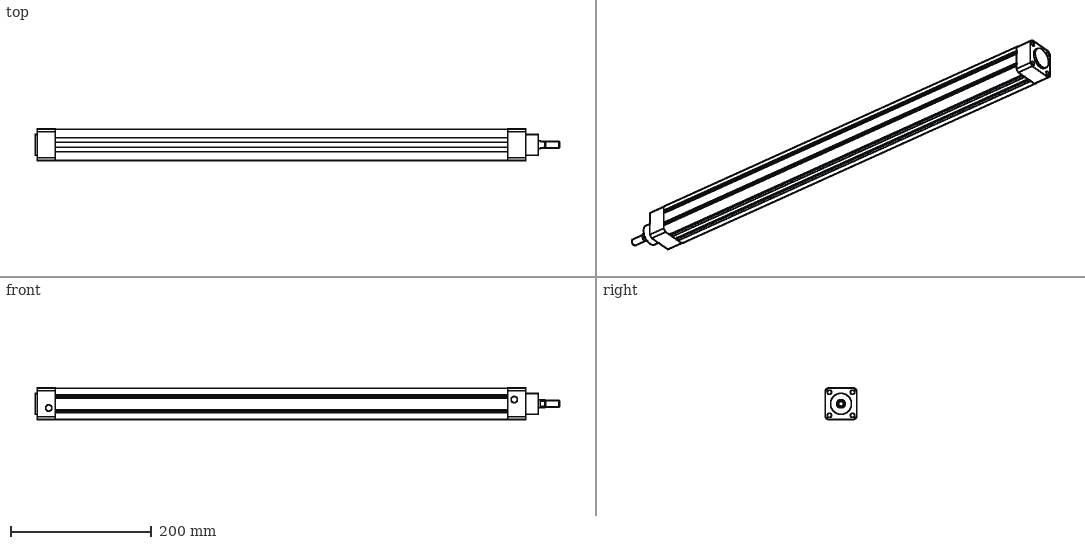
import cadquery as cq


total_length = 746.0
rear_boss_length = 3.0
cap_length = 25.0
front_cap_end = 697.5
front_boss_end = 715.5

cap_overhang = 0.11
cap_corner_chamfer = 4.1
boss_diameter = 30.0
screw_spacing = 33.0
screw_hole_diameter = 6.0
screw_hole_depth = 9.0
port_diameter = 9.0
port_depth = 9.0
port_offset_z = 6.0
port_setback = 16.5

profile_width = 45.0
profile_corner_radius = 5.0
top_slot_width = 7.0
top_slot_depth = 4.0
top_slot_offset = 7.0
side_groove_width = 4.5
side_groove_floor = 2.0
side_groove_depth = 2.0
side_groove_offset = 10.5

rod_diameter = 12.0
shoulder_length = 3.0
flat_length = 6.0
across_flats = 10.0
thread_diameter = 10.0
thread_chamfer = 1.5

cap_width = profile_width + 2 * cap_overhang
rear_cap_start = rear_boss_length
profile_start = rear_cap_start + cap_length
front_cap_start = front_cap_end - cap_length
profile_length = front_cap_start - profile_start


def section(x):
    """Cross-section plane at x, with local axes along Y and Z."""
    return cq.Workplane("YZ", origin=(x, 0, 0))


def disc(x, diameter, length):
    return section(x).circle(diameter / 2).extrude(length)


def square_bar(x, width, length):
    return section(x).rect(width, width).extrude(length)


def screw_holes(x, depth):
    """Four corner holes starting at x; a negative depth runs toward -X."""
    corners = section(x).rect(screw_spacing, screw_spacing, forConstruction=True).vertices()
    return corners.circle(screw_hole_diameter / 2).extrude(depth)


def port(x, z):
    """Blind air port in the -Y side of a cap."""
    mouth = cq.Workplane("XZ", origin=(x, -cap_width / 2, z))
    return mouth.circle(port_diameter / 2).extrude(-port_depth)


def make_cap_block(x):
    """Square cap block with chamfered corner edges."""
    return square_bar(x, cap_width, cap_length).edges("|X").chamfer(cap_corner_chamfer)


def make_rear_cap():
    cap = make_cap_block(rear_cap_start)
    cap = cap.union(disc(0, boss_diameter, rear_boss_length))
    cap = cap.cut(screw_holes(rear_cap_start, screw_hole_depth))
    return cap.cut(port(rear_cap_start + port_setback, -port_offset_z))


def make_front_cap():
    cap = make_cap_block(front_cap_start)
    cap = cap.union(disc(front_cap_end, boss_diameter, front_boss_end - front_cap_end))
    cap = cap.cut(screw_holes(front_cap_end, -screw_hole_depth))
    cap = cap.cut(port(front_cap_end - port_setback, port_offset_z))
    return cap.cut(disc(front_cap_start, rod_diameter, front_boss_end - front_cap_start))


def level_slot(y, z):
    """Rectangular slot in the top or bottom face; half of the cutter lies outside the body."""
    profile = section(profile_start).center(y, z).rect(top_slot_width, 2 * top_slot_depth)
    return profile.extrude(profile_length)


def side_groove(side, z):
    """Groove with sloping walls in the -Y (side = -1) or +Y (side = 1) face."""
    mouth_y = side * profile_width / 2
    floor_y = mouth_y - side * side_groove_depth
    half_mouth = side_groove_width / 2
    half_floor = side_groove_floor / 2
    profile = section(profile_start).polyline([
        (mouth_y, z - half_mouth),
        (floor_y, z - half_floor),
        (floor_y, z + half_floor),
        (mouth_y, z + half_mouth),
    ]).close()
    return profile.extrude(profile_length)


def make_profile():
    profile = square_bar(profile_start, profile_width, profile_length)
    profile = profile.edges("|X").fillet(profile_corner_radius)
    for side in (-1, 1):
        for offset_sign in (-1, 1):
            profile = profile.cut(level_slot(offset_sign * top_slot_offset, side * profile_width / 2))
            profile = profile.cut(side_groove(side, offset_sign * side_groove_offset))
    return profile


def make_rod():
    """Rod with two wrench flats facing -Y and +Y behind its threaded end."""
    flat_start = front_boss_end + shoulder_length
    thread_start = flat_start + flat_length
    shank = disc(front_cap_start, rod_diameter, flat_start - front_cap_start)
    flat_slab = section(flat_start).rect(across_flats, rod_diameter).extrude(flat_length)
    flats = disc(flat_start, rod_diameter, flat_length).intersect(flat_slab)
    thread = disc(thread_start, thread_diameter, total_length - thread_start)
    thread = thread.faces("<X or >X").chamfer(thread_chamfer)
    return shank.union(flats).union(thread)


rear_cap = make_rear_cap()
front_cap = make_front_cap()
profile_body = make_profile()
rod = make_rod()

bodies = [rear_cap, front_cap, profile_body, rod]
result = cq.Compound.makeCompound([body.solids().val() for body in bodies])